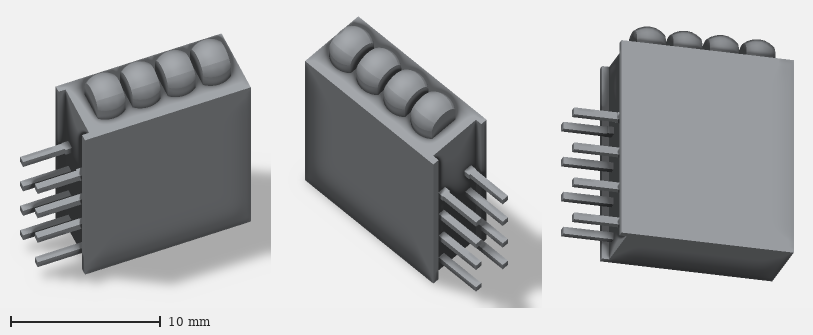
import cadquery as cq
import math


holder_width = 5.09
holder_depth = 12.0
holder_height = 14.0
wall_thickness = 0.5
recess_depth = 0.5

pitch = 2.55
count = 4

lens_radius = 1.5
lens_thickness = 2.01
lens_height = 2.2
shoulder_height = 0.89
corner_radius = 1.2
back_lens_inset = 1.86

pin_size = 0.5
pin_reach = 3.0
lowest_pin_height = 1.28
collar_outer_step = 0.05
collar_inner_step = 0.11
collar_length = 0.47

seat_overlap = 0.16


def make_holder():
    block = cq.Workplane("XY").box(
        holder_width, holder_depth, holder_height, centered=(True, False, False)
    )
    recess = cq.Workplane("XY").box(
        holder_width - 2 * wall_thickness, recess_depth, holder_height, centered=(True, False, False)
    )
    return block.cut(recess)


def add_crown(outline, inset):
    """Draw the three tangent arcs over the lens, from its -X shoulder to its +X shoulder."""
    rise = lens_height - shoulder_height
    corner_x = lens_radius - corner_radius
    top_radius = (corner_x**2 + rise**2 - corner_radius**2) / (2 * (rise - corner_radius))
    top_center_z = lens_height - top_radius
    joint_angle = math.atan2(corner_x, shoulder_height - top_center_z)
    corner_middle_angle = (joint_angle + math.pi / 2) / 2

    def on_corner(angle, side):
        radius = corner_radius - inset
        x = corner_x + radius * math.sin(angle)
        return (side * x, shoulder_height + radius * math.cos(angle))

    return (
        outline.threePointArc(on_corner(corner_middle_angle, -1), on_corner(joint_angle, -1))
        .threePointArc((0, lens_height - inset), on_corner(joint_angle, 1))
        .threePointArc(on_corner(corner_middle_angle, 1), on_corner(math.pi / 2, 1))
    )


def make_lens():
    """Flat-sided lens whose rounded rim follows the crown, standing on Z = 0."""
    half_thickness = lens_thickness / 2
    flat_half_width = math.sqrt(lens_radius**2 - half_thickness**2)
    inset = lens_radius - flat_half_width

    core_start = cq.Workplane("XZ").moveTo(-flat_half_width, -seat_overlap)
    core_outline = add_crown(core_start.lineTo(-flat_half_width, shoulder_height), inset)
    core = core_outline.lineTo(flat_half_width, -seat_overlap).close().extrude(half_thickness, both=True)

    path_start = cq.Workplane("XZ").moveTo(-lens_radius, -seat_overlap)
    path = add_crown(path_start.lineTo(-lens_radius, shoulder_height), 0).lineTo(lens_radius, -seat_overlap)
    rim = (
        cq.Workplane("XY", origin=(0, 0, -seat_overlap))
        .moveTo(-flat_half_width, -half_thickness)
        .threePointArc((-lens_radius, 0), (-flat_half_width, half_thickness))
        .close()
        .sweep(path)
    )
    return core.union(rim)


def make_pin(side, height, has_collar):
    """Square pin on the given X side; a collar widens it where it leaves the recess."""
    center_x = side * pitch / 2
    back_y = recess_depth + seat_overlap
    pin = (
        cq.Workplane("XY", origin=(center_x, -pin_reach, height))
        .box(pin_size, pin_reach + back_y, pin_size, centered=(True, False, True))
    )
    if has_collar:
        collar_x = center_x + side * (collar_outer_step - collar_inner_step) / 2
        collar = (
            cq.Workplane("XY", origin=(collar_x, recess_depth - collar_length, height))
            .box(
                pin_size + collar_outer_step + collar_inner_step,
                collar_length + seat_overlap,
                pin_size,
                centered=(True, False, True),
            )
        )
        pin = pin.union(collar)
    return pin


result = make_holder()

lens = make_lens()
for i in range(count):
    lens_y = holder_depth - back_lens_inset - i * pitch
    result = result.union(lens.translate((0, lens_y, holder_height)))

for row in range(count):
    is_top_row = row == count - 1
    for side in (-1, 1):
        result = result.union(make_pin(side, lowest_pin_height + row * pitch, is_top_row))